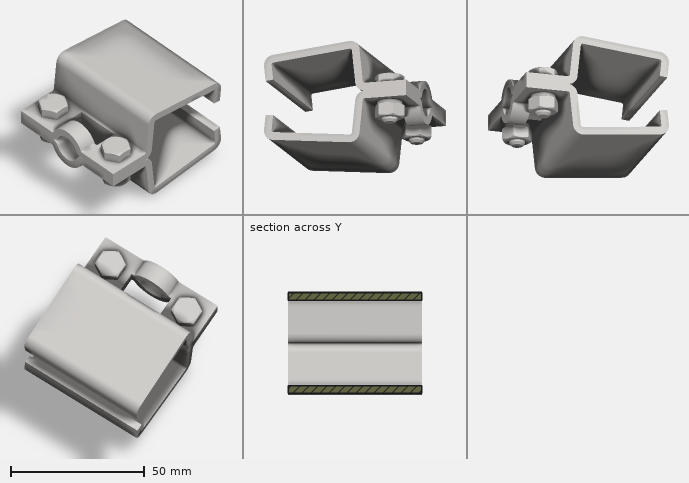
import cadquery as cq
import math

LENGTH = 50.0
DEPTH = 55.7
HEIGHT = 39.05

SHEET = 3.0
BEND_INNER = 0.8
BEND_OUTER = BEND_INNER + SHEET
BEND_MIDDLE = BEND_INNER + SHEET / 2
TILT = 6.0
TAB_DEPTH = 16.2
LIP_LENGTH = 5.75

EYE_DEPTH = 7.0
EYE_OUTER_RADIUS = 8.25
EYE_BORE_RADIUS = EYE_OUTER_RADIUS - SHEET
EYE_FOOT_INNER = 0.65
EYE_FOOT_OUTER = EYE_FOOT_INNER + SHEET
WINDOW_LENGTH = 17.65
WINDOW_DEPTH = 8.95

BOLT_X = 17.0
BOLT_Y = 8.95
BOLT_DIAMETER = 6.0
BOLT_TIP_CHAMFER = 0.9
BOLT_TIP_Z = -10.95
HEX_FLATS = 10.0
HEX_FACE_DIAMETER = 9.5
HEX_CHAMFER_ANGLE = 30.0
HEAD_HEIGHT = 4.0
WASHER_DIAMETER = 9.5
WASHER_THICKNESS = 1.15
NUT_HEIGHT = 5.1


def polar(center, radius, angle):
    """Point at a given distance and direction (degrees) from a centre."""
    turn = math.radians(angle)
    return (center[0] + radius * math.cos(turn), center[1] + radius * math.sin(turn))


def add_bend(path, center, radius, start_angle, end_angle):
    """Continue a path straight to the start of a bend and then around it."""
    middle = polar(center, radius, (start_angle + end_angle) / 2)
    end = polar(center, radius, end_angle)
    return path.lineTo(*polar(center, radius, start_angle)).threePointArc(middle, end)


def upper_sheet():
    """Upper half of the clip: tab, wall, flange and lip joined by bends."""
    lean_sin = math.sin(math.radians(TILT))
    lean_cos = math.cos(math.radians(TILT))

    bend_span = BEND_MIDDLE * 2
    wall_length = (HEIGHT / 2 - 2 * BEND_OUTER + bend_span * lean_sin) / lean_cos
    top_y = TAB_DEPTH + bend_span * lean_cos + wall_length * lean_sin
    top_z = HEIGHT / 2 - BEND_OUTER
    lip_y = DEPTH - BEND_OUTER
    lip_z = top_z - (lip_y - top_y) * lean_sin / lean_cos
    tab_bend = (TAB_DEPTH, BEND_OUTER)
    top_bend = (top_y, top_z)
    lip_bend = (lip_y, lip_z)

    tab_side = -90
    wall_side = 180 - TILT
    flange_side = 90 - TILT
    lip_side = -TILT

    def lip_end(radius):
        return polar(polar(lip_bend, radius, lip_side), LIP_LENGTH, lip_side - 90)

    section = cq.Workplane("YZ").moveTo(0, SHEET)
    section = add_bend(section, tab_bend, BEND_INNER, tab_side, lip_side)
    section = add_bend(section, top_bend, BEND_OUTER, wall_side, flange_side)
    section = add_bend(section, lip_bend, BEND_OUTER, flange_side, lip_side)
    section = section.lineTo(*lip_end(BEND_OUTER)).lineTo(*lip_end(BEND_INNER))
    section = add_bend(section, lip_bend, BEND_INNER, lip_side, flange_side)
    section = add_bend(section, top_bend, BEND_INNER, flange_side, wall_side)
    section = add_bend(section, tab_bend, BEND_OUTER, lip_side, tab_side)
    return section.lineTo(0, 0).close().extrude(LENGTH / 2, both=True)


def eye_half(radius, base_z, foot_radius):
    """Arch over the Y axis whose feet flare tangentially onto the plane z = base_z."""
    foot_z = base_z + foot_radius
    foot_x = math.sqrt((radius + foot_radius) ** 2 - foot_z ** 2)
    foot_angle = math.degrees(math.atan2(foot_z, foot_x))
    meet_x, meet_z = polar((0, 0), radius, foot_angle)
    middle_x, middle_z = polar((foot_x, foot_z), foot_radius, (foot_angle + 180 + 270) / 2)
    return (
        cq.Workplane("XZ")
        .moveTo(-foot_x, base_z)
        .threePointArc((-middle_x, middle_z), (-meet_x, meet_z))
        .threePointArc((0, radius), (meet_x, meet_z))
        .threePointArc((middle_x, middle_z), (foot_x, base_z))
        .close()
        .extrude(-EYE_DEPTH)
    )


def both_halves(upper):
    """Join an upper body to its mirror image below the joint plane."""
    return upper.union(upper.mirror("XY"))


def hex_body(bottom_z, height, round_bottom):
    """Hexagon with corners along Y, its corners bevelled by a cone at the top and optionally the bottom."""
    corner_diameter = HEX_FLATS / math.cos(math.radians(30))
    face_radius = HEX_FACE_DIAMETER / 2
    corner_radius = corner_diameter / 2
    drop = (corner_radius - face_radius) * math.tan(math.radians(HEX_CHAMFER_ANGLE))
    prism = (
        cq.Workplane("XY", origin=(0, 0, bottom_z))
        .transformed(rotate=(0, 0, 90))
        .polygon(6, corner_diameter)
        .extrude(height)
    )
    envelope = cq.Workplane("XY", origin=(0, 0, bottom_z)).circle(corner_radius).extrude(height)
    bevelled = envelope.faces("<Z or >Z" if round_bottom else ">Z")
    return prism.intersect(bevelled.chamfer(drop, corner_radius - face_radius))


def fastener():
    """Bolt with head on top of the tabs, washer and nut below."""
    washer_z = -SHEET - WASHER_THICKNESS
    head = hex_body(SHEET, HEAD_HEIGHT, False)
    nut = hex_body(washer_z - NUT_HEIGHT, NUT_HEIGHT, True)
    washer = cq.Workplane("XY", origin=(0, 0, washer_z)).circle(WASHER_DIAMETER / 2).extrude(WASHER_THICKNESS)
    shank = (
        cq.Workplane("XY", origin=(0, 0, BOLT_TIP_Z))
        .circle(BOLT_DIAMETER / 2)
        .extrude(SHEET - BOLT_TIP_Z)
        .faces("<Z")
        .chamfer(BOLT_TIP_CHAMFER)
    )
    return shank.union(head).union(washer).union(nut)


window = cq.Workplane("XY").box(WINDOW_LENGTH, WINDOW_DEPTH, 2 * SHEET).translate(
    (0, EYE_DEPTH + WINDOW_DEPTH / 2, 0)
)
eye = both_halves(eye_half(EYE_OUTER_RADIUS, SHEET, EYE_FOOT_INNER))
bore = both_halves(eye_half(EYE_BORE_RADIUS, 0, EYE_FOOT_OUTER))

result = both_halves(upper_sheet()).cut(window).union(eye).cut(bore)
for side in (-1, 1):
    result = result.union(fastener().translate((side * BOLT_X, BOLT_Y, 0)))